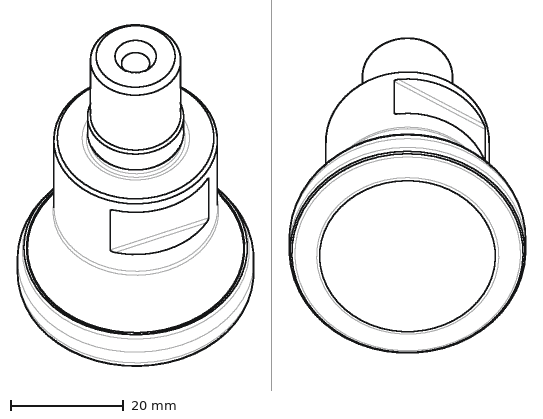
import cadquery as cq
import math

total_height = 63.0
shoulder_z = 40.0

shank_radius = 16.0 / 2
shank_chamfer = 1.0
collar_radius = 17.0 / 2
collar_top_z = 46.5
collar_chamfer = collar_radius - shank_radius
relief_radius = 16.5 / 2
relief_top_z = 41.2
relief_taper_height = 0.3
relief_depth = 0.2
relief_floor_radius = 8.75
relief_blend_top_z = 40.2
relief_outer_radius = 9.5

hole_radius = 5.0 / 2
countersink_radius = 3.65
countersink_depth = 2.0
hole_depth = 7.55
drill_tip_angle = 118.0

body_radius = 29.0 / 2
body_chamfer = 0.6
body_bottom_z = 20.4
cone_top_z = 19.5
cone_top_radius = 14.7
cone_base_radius = 19.15

flat_half_width = 10.95
flat_bottom_z = 25.1
flat_top_z = 37.0
flat_corner_radius = 0.5

head_radius = 41.9 / 2
head_top_z = 9.0
recess_radius = 38.6 / 2
recess_depth = 0.2
recess_floor_z = head_top_z - recess_depth
rim_radius = 19.8
crown_top_radius = 20.1
crown_top_z = 8.25
land_top_z = 5.6
land_bottom_z = 2.6
lower_edge_radius = 20.8
lower_edge_z = 1.4
bevel_radius = 20.5
bevel_z = 1.1
dome_edge_radius = 20.0
dome_edge_z = 0.9
base_flat_radius = 15.55
dome_inner_radius = 16.1
dome_inner_z = 0.2
dome_middle = (18.3, 0.4)
lower_edge_middle = (20.9, 1.95)


def revolve_about_z(profile):
    """Turn a closed outline of (radius, z) points about the Z axis."""
    return profile.close().revolve(360, (0, 0, 0), (0, 1, 0))


def make_turned_holder():
    """Shank, pilot collar, relief groove, body and cone as one turned shape."""
    collar_bottom_z = relief_top_z + relief_taper_height
    profile = (
        cq.Workplane("XZ")
        .moveTo(0, recess_floor_z)
        .lineTo(cone_base_radius, recess_floor_z)
        .lineTo(cone_top_radius, cone_top_z)
        .tangentArcPoint((body_radius, body_bottom_z), relative=False)
        .lineTo(body_radius, shoulder_z - body_chamfer)
        .lineTo(body_radius - body_chamfer, shoulder_z)
        .lineTo(relief_outer_radius, shoulder_z)
        .lineTo(relief_floor_radius, shoulder_z - relief_depth)
        .tangentArcPoint((relief_radius, relief_blend_top_z), relative=False)
        .lineTo(relief_radius, relief_top_z)
        .lineTo(collar_radius, collar_bottom_z)
        .lineTo(collar_radius, collar_top_z - collar_chamfer)
        .lineTo(shank_radius, collar_top_z)
        .lineTo(shank_radius, total_height - shank_chamfer)
        .lineTo(shank_radius - shank_chamfer, total_height)
        .lineTo(0, total_height)
    )
    return revolve_about_z(profile)


def make_centre_hole():
    """Countersunk blind hole with a drill-point bottom."""
    tip_height = hole_radius / math.tan(math.radians(drill_tip_angle / 2))
    hole_bottom_z = total_height - hole_depth
    profile = (
        cq.Workplane("XZ")
        .moveTo(0, total_height)
        .lineTo(countersink_radius, total_height)
        .lineTo(hole_radius, total_height - countersink_depth)
        .lineTo(hole_radius, hole_bottom_z)
        .lineTo(0, hole_bottom_z - tip_height)
    )
    return revolve_about_z(profile)


def make_flat_cutter(side):
    """Block that mills one wrench flat, rounded along the two inner corners."""
    depth = body_radius
    flat_height = flat_top_z - flat_bottom_z
    centre_x = side * (flat_half_width + depth / 2)
    centre_z = (flat_top_z + flat_bottom_z) / 2
    inner_face = "<X" if side > 0 else ">X"
    return (
        cq.Workplane("XY")
        .box(depth, 2 * body_radius, flat_height)
        .faces(inner_face)
        .edges("|Y")
        .fillet(flat_corner_radius)
        .translate((centre_x, 0, centre_z))
    )


def make_holder():
    holder = make_turned_holder().cut(make_centre_hole())
    for side in (-1, 1):
        holder = holder.cut(make_flat_cutter(side))
    return holder


def make_head():
    """Round head with a shallow recess that seats the base of the cone."""
    profile = (
        cq.Workplane("XZ")
        .moveTo(0, 0)
        .lineTo(base_flat_radius, 0)
        .lineTo(dome_inner_radius, dome_inner_z)
        .threePointArc(dome_middle, (dome_edge_radius, dome_edge_z))
        .lineTo(bevel_radius, bevel_z)
        .lineTo(lower_edge_radius, lower_edge_z)
        .threePointArc(lower_edge_middle, (head_radius, land_bottom_z))
        .lineTo(head_radius, land_top_z)
        .tangentArcPoint((crown_top_radius, crown_top_z), relative=False)
        .lineTo(rim_radius, head_top_z)
        .lineTo(recess_radius, head_top_z)
        .lineTo(recess_radius, recess_floor_z)
        .lineTo(0, recess_floor_z)
    )
    return revolve_about_z(profile)


holder = make_holder()
head = make_head()

result = cq.Compound.makeCompound([holder.val(), head.val()])